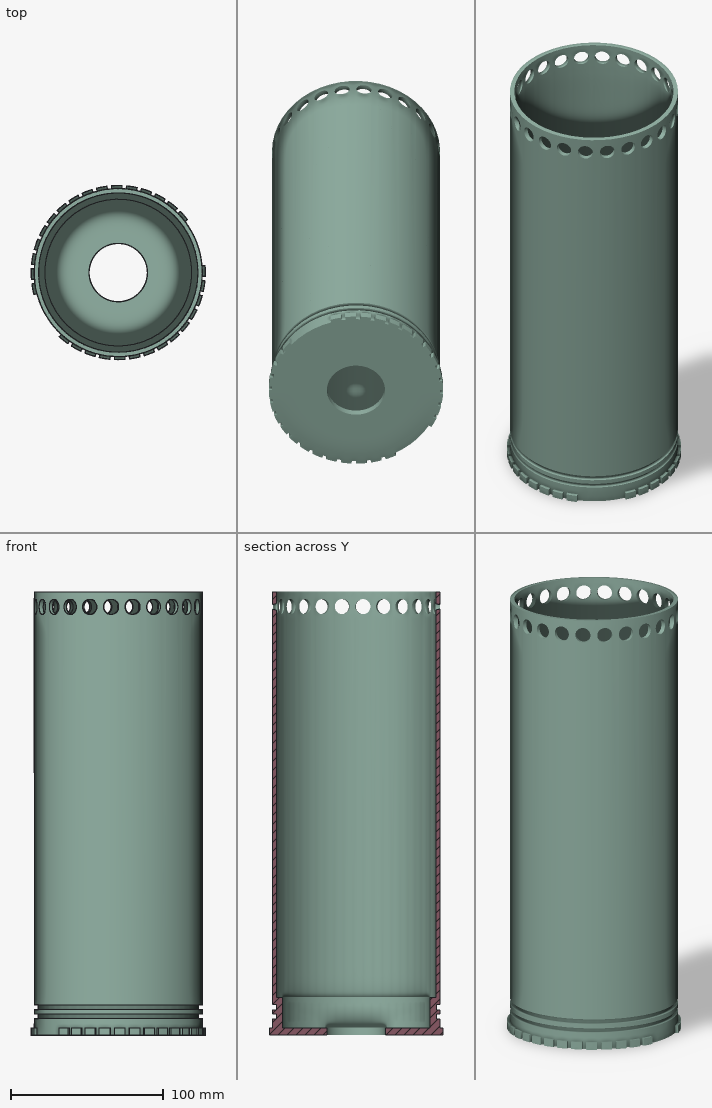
import cadquery as cq
import math

length = 290
body_diameter = 110.0
bore_diameter = 104.0
bore_floor = 25.0
recess_diameter = 96.0
base_thickness = 5.0
base_hole_diameter = 38.0

groove_diameter = 105.0
grooves = [(11.0, 3.0), (16.8, 3.2)]

hole_count = 24
hole_diameter = 10.0
hole_drop = 10.0
hole_start_angle = 10

tooth_diameter = 114.0
tooth_height = base_thickness
tooth_positions = 36
tooth_gap_angle = 2.8
tooth_start_angle = 1
missing_teeth = (1, 2, 3, 20, 21, 22)


def disc(diameter, bottom, top):
    """Solid cylinder on the Z axis between two heights."""
    return cq.Workplane("XY").workplane(offset=bottom).circle(diameter / 2).extrude(top - bottom)


def polar_point(radius, angle):
    """Point in the XY plane at an angle in degrees from +X."""
    return (radius * math.cos(math.radians(angle)), radius * math.sin(math.radians(angle)))


def tube():
    """Stepped cup with a central hole in its base."""
    outer = disc(body_diameter, 0, length)
    bore = disc(bore_diameter, bore_floor, length)
    recess = disc(recess_diameter, base_thickness, bore_floor)
    base_hole = disc(base_hole_diameter, 0, base_thickness)
    return outer.cut(bore).cut(recess).cut(base_hole)


def groove(bottom, width):
    """Ring of material removed for one seal groove."""
    ring = disc(tooth_diameter, bottom, bottom + width)
    return ring.cut(disc(groove_diameter, bottom, bottom + width))


def radial_hole(angle):
    """Cutter for one hole through the wall, pointing outward at the given angle."""
    cutter = (
        cq.Workplane("YZ")
        .center(0, length - hole_drop)
        .circle(hole_diameter / 2)
        .extrude(body_diameter)
    )
    return cutter.rotate((0, 0, 0), (0, 0, 1), angle)


def tooth(angle):
    """One tooth, rooted inside the foot wall and centred on the given angle."""
    half_angle = (360 / tooth_positions - tooth_gap_angle) / 2
    root_radius = groove_diameter / 2
    tip_radius = tooth_diameter / 2
    return (
        cq.Workplane("XY")
        .moveTo(*polar_point(root_radius, angle - half_angle))
        .lineTo(*polar_point(tip_radius, angle - half_angle))
        .threePointArc(polar_point(tip_radius, angle), polar_point(tip_radius, angle + half_angle))
        .lineTo(*polar_point(root_radius, angle + half_angle))
        .threePointArc(polar_point(root_radius, angle), polar_point(root_radius, angle - half_angle))
        .close()
        .extrude(tooth_height)
    )


result = tube()

for groove_bottom, groove_width in grooves:
    result = result.cut(groove(groove_bottom, groove_width))

for index in range(hole_count):
    result = result.cut(radial_hole(hole_start_angle + index * 360 / hole_count))

for index in range(tooth_positions):
    if index not in missing_teeth:
        result = result.union(tooth(tooth_start_angle + index * 360 / tooth_positions))